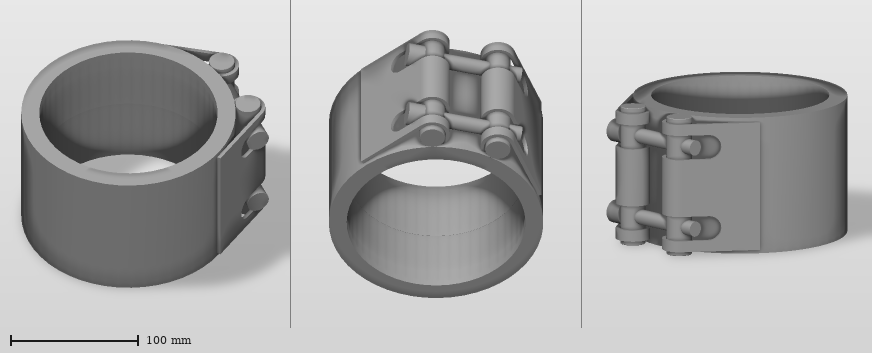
import cadquery as cq
import math

SLEEVE_DIAMETER = 168.0
SLEEVE_HEIGHT = 108.9
UPPER_BORE_DIAMETER = 139.7
LOWER_BORE_DIAMETER = 140.0

OVERALL_DEPTH = 188.0
PLATE_THICKNESS = 3.0
PLATE_HEIGHT = 102.0
PLATE_TAIL = 3.0
LOOP_INNER_RADIUS = 10.5
PIN_HALF_SPACING = 26.5

SLOT_WIDTH = 19.5
SLOT_REACH = 21.5

PIN_DIAMETER = 20.0
PIN_LENGTH = 110.0
PIN_CHAMFER = 0.4
SCREW_DIAMETER = 12.0
SCREW_HEAD_DIAMETER = 18.0
SCREW_HALF_SPACING = 32.5
SCREW_TIP_X = -44.7
SCREW_HEAD_X = 34.2
SCREW_END_X = 47.2

SLEEVE_RADIUS = SLEEVE_DIAMETER / 2
LOOP_OUTER_RADIUS = LOOP_INNER_RADIUS + PLATE_THICKNESS
PIN_Y = OVERALL_DEPTH - SLEEVE_RADIUS - LOOP_OUTER_RADIUS
SCREW_HEIGHTS = (-SCREW_HALF_SPACING, SCREW_HALF_SPACING)

PIN_DISTANCE = math.hypot(PIN_HALF_SPACING, PIN_Y)
PLATE_ANGLE = math.atan2(PIN_Y, PIN_HALF_SPACING) - math.acos(
    (SLEEVE_RADIUS - LOOP_INNER_RADIUS) / PIN_DISTANCE
)
NORMAL = cq.Vector(math.cos(PLATE_ANGLE), math.sin(PLATE_ANGLE), 0)
DOWN_PLATE = cq.Vector(math.sin(PLATE_ANGLE), -math.cos(PLATE_ANGLE), 0)
PIN_CENTRE = cq.Vector(PIN_HALF_SPACING, PIN_Y, 0)


def make_sleeve():
    blank = cq.Workplane("XY").circle(SLEEVE_RADIUS).extrude(SLEEVE_HEIGHT / 2, both=True)
    upper_bore = cq.Workplane("XY").circle(UPPER_BORE_DIAMETER / 2).extrude(SLEEVE_HEIGHT / 2)
    lower_bore = cq.Workplane("XY").circle(LOWER_BORE_DIAMETER / 2).extrude(-SLEEVE_HEIGHT / 2)
    return blank.cut(upper_bore).cut(lower_bore)


def loop_point(direction, radius):
    """Point at the given radius from the pin centre, in a unit direction."""
    point = PIN_CENTRE + direction * radius
    return (point.x, point.y)


def make_plate_strip():
    """Straight plate that rolls over the pin and ends straight below it, on the +X side."""
    tail_inner = NORMAL * SLEEVE_RADIUS + DOWN_PLATE * PLATE_TAIL
    tail_outer = tail_inner + NORMAL * PLATE_THICKNESS
    roll_middle = cq.Vector(-1, 0, 0)
    roll_end = cq.Vector(0, -1, 0)
    return (
        cq.Workplane("XY")
        .moveTo(tail_inner.x, tail_inner.y)
        .lineTo(tail_outer.x, tail_outer.y)
        .lineTo(*loop_point(NORMAL, LOOP_OUTER_RADIUS))
        .threePointArc(
            loop_point(roll_middle, LOOP_OUTER_RADIUS),
            loop_point(roll_end, LOOP_OUTER_RADIUS),
        )
        .lineTo(*loop_point(roll_end, LOOP_INNER_RADIUS))
        .threePointArc(
            loop_point(roll_middle, LOOP_INNER_RADIUS),
            loop_point(NORMAL, LOOP_INNER_RADIUS),
        )
        .close()
        .extrude(PLATE_HEIGHT / 2, both=True)
    )


def make_slot(height):
    """Round-ended cutter, square to the plate, that runs up through the whole loop."""
    clearance = 2 * LOOP_OUTER_RADIUS
    half_width = SLOT_WIDTH / 2
    across_plate = cq.Plane(
        origin=(PIN_HALF_SPACING, PIN_Y, height), xDir=DOWN_PLATE.toTuple(), normal=NORMAL.toTuple()
    )
    return (
        cq.Workplane(across_plate)
        .moveTo(-clearance, -half_width)
        .lineTo(SLOT_REACH, -half_width)
        .threePointArc((SLOT_REACH + half_width, 0), (SLOT_REACH, half_width))
        .lineTo(-clearance, half_width)
        .close()
        .extrude(clearance, both=True)
    )


def make_plate():
    plate = make_plate_strip()
    for height in SCREW_HEIGHTS:
        plate = plate.cut(make_slot(height))
    return plate


def make_housing():
    """Sleeve with both clamp plates."""
    plate = make_plate()
    return make_sleeve().union(plate).union(plate.mirror("YZ"))


def make_pin(x):
    return (
        cq.Workplane("XY")
        .center(x, PIN_Y)
        .circle(PIN_DIAMETER / 2)
        .extrude(PIN_LENGTH / 2, both=True)
        .faces("<Z or >Z")
        .chamfer(PIN_CHAMFER)
    )


def make_screw(height):
    tip = cq.Workplane("YZ", origin=(SCREW_TIP_X, PIN_Y, height))
    seat = cq.Workplane("YZ", origin=(SCREW_HEAD_X, PIN_Y, height))
    shank = tip.circle(SCREW_DIAMETER / 2).extrude(SCREW_END_X - SCREW_TIP_X)
    head = seat.circle(SCREW_HEAD_DIAMETER / 2).extrude(SCREW_END_X - SCREW_HEAD_X)
    return shank.union(head)


def make_closure():
    """Two pins joined by two screws into one frame."""
    closure = make_pin(-PIN_HALF_SPACING).union(make_pin(PIN_HALF_SPACING))
    for height in SCREW_HEIGHTS:
        closure = closure.union(make_screw(height))
    return closure


housing = make_housing()
closure = make_closure()

result = cq.Compound.makeCompound([housing.val(), closure.val()])